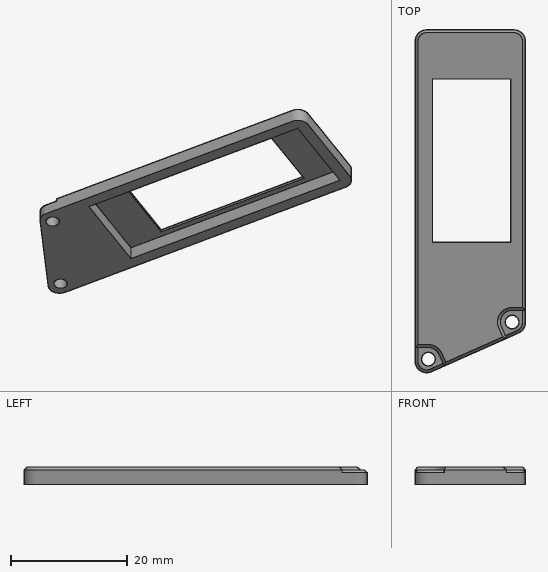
import cadquery as cq
import math

width = 19.0
length = 58.95
thickness = 3.05
corner_radius = 2.0
chamfer = 0.5
slant_angle = 24.0

window_width = 13.45
window_length = 28.0
window_side_margin = 3.0
window_end_margin = 8.5

wall = 2.0
roof_thickness = 0.5

hole_diameter = 2.3
hole_side_margin = 2.3
left_hole_y = 2.35
right_hole_y = 8.7
seat_depth = 0.5
seat_radius = 2.0
overshoot = 5.9

slant = math.radians(slant_angle)
seat_height = thickness - seat_depth
left_hole = (hole_side_margin, left_hole_y)
right_hole = (width - hole_side_margin, right_hole_y)

slant_left_y = corner_radius * (1 - math.tan(slant) - 1 / math.cos(slant))
slant_right_y = slant_left_y + width * math.tan(slant)


def plate(height):
    """Rounded plate with a chamfered top edge."""
    corners = [(0, slant_left_y), (width, slant_right_y), (width, length), (0, length)]
    body = cq.Workplane("XY").polyline(corners).close().extrude(height)
    return body.edges("|Z").fillet(corner_radius).faces(">Z").edges().chamfer(chamfer)


def seat_outline(hole, side, base_height):
    """Region around a hole, open to the long side (-1 left, +1 right) and to the slanted edge."""
    x, y = hole
    end_angle = slant if side < 0 else math.pi + slant
    middle_angle = (math.pi / 2 + end_angle) / 2
    arc_middle = (x + seat_radius * math.cos(middle_angle), y + seat_radius * math.sin(middle_angle))
    arc_end = (x + seat_radius * math.cos(end_angle), y + seat_radius * math.sin(end_angle))
    edge_exit = (arc_end[0] + overshoot * math.sin(slant), arc_end[1] - overshoot * math.cos(slant))
    outer_x = x + side * overshoot
    return (
        cq.Workplane("XY", origin=(0, 0, base_height))
        .moveTo(outer_x, y + seat_radius)
        .lineTo(x, y + seat_radius)
        .threePointArc(arc_middle, arc_end)
        .lineTo(*edge_exit)
        .lineTo(outer_x, edge_exit[1])
        .close()
    )


def seat_cutter(hole, side):
    """Straight below the seat floor, flaring outward at 45 degrees above it."""
    straight = seat_outline(hole, side, seat_height - chamfer).extrude(chamfer)
    flared = seat_outline(hole, side, seat_height).extrude(seat_depth, taper=-45)
    return straight.union(flared)


upper = plate(thickness)
for hole, side in ((left_hole, -1), (right_hole, 1)):
    upper = upper.cut(seat_cutter(hole, side))
body = upper.union(plate(seat_height))

window_center_x = window_side_margin + window_width / 2
window_center_y = length - window_end_margin - window_length / 2
recess_width = width - 2 * wall
recess_length = 2 * (length - wall - window_center_y)
recess = (
    cq.Workplane("XY")
    .center(width / 2, window_center_y)
    .rect(recess_width, recess_length)
    .extrude(thickness - roof_thickness)
)

window = (
    cq.Workplane("XY")
    .center(window_center_x, window_center_y)
    .rect(window_width, window_length)
    .extrude(thickness)
)
holes = (
    cq.Workplane("XY")
    .pushPoints([left_hole, right_hole])
    .circle(hole_diameter / 2)
    .extrude(thickness)
)

result = body.cut(recess).cut(window).cut(holes)